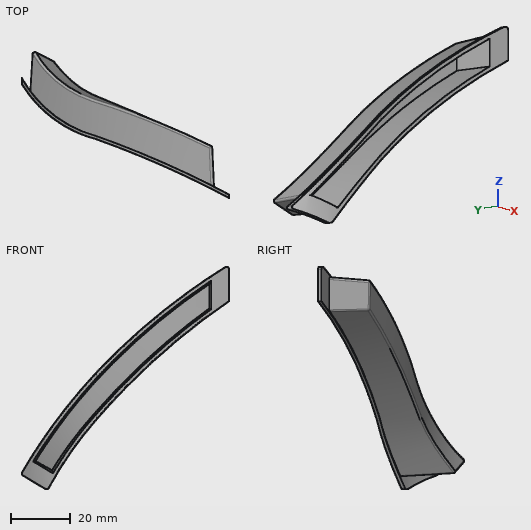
import cadquery as cq
import math

LENGTH_X = 69.2
SHEET_THICKNESS = 1.05
WALL = 1.05
TRAY_MARGIN = 0.2
DRAFT = math.tan(math.radians(2.5))
CORNER_RADIUS = 0.9
EDGE_RADIUS = 0.75
JOINT_X = 24.75
FLANGE_TOP_Z = 74.9
FLANGE_BOTTOM_Z = 62.7
NEAR_PLANE_Y = -3.7
FAR_PLANE_Y = 55.6
SLAB_HEIGHT = 81.55
CURVE_STEPS = 16
BACK_STEPS = 12
OVERRUN = 0.04
CORNER_ALIGNMENT = 0.95

UPPER_EDGE = [(-0.3, 5.0), (11.65, 23.05), (JOINT_X, 38.8), (46.0, 58.5), (LENGTH_X, FLANGE_TOP_Z)]
LOWER_EDGE = [(8.6, -0.4), (15.7, 11.4), (JOINT_X, 23.05), (46.0, 44.6), (LENGTH_X, FLANGE_BOTTOM_Z)]
FLANGE_FACE = [(-1.5, 40.8), (10.4, 26.7), (JOINT_X, 19.7), (47.45, 10.7), (70.4, -0.6)]
TRAY_BACK_UPPER = [(1.5, 52.6), (10.4, 40.55), (JOINT_X, 32.8), (44.5, 25.9), (66.7, 15.7)]
TRAY_BACK_LOWER = [(9.65, 49.15), (17.95, 38.7), (JOINT_X, 34.4), (44.5, 25.9), (66.7, 15.7)]

TRAY_UPPER_LEFT = 2.45
TRAY_LOWER_LEFT = 10.75
TRAY_RIGHT = 64.2
BACK_POINT = (33.4, 30.4, 40.0)

END_SLOPE = math.radians(30)
UPPER_CORNER_SHIFT = math.sin(END_SLOPE) + math.cos(END_SLOPE)
LOWER_CORNER_SHIFT = math.sin(END_SLOPE) - math.cos(END_SLOPE)


def circle_through(p, q, r):
    """Centre and radius of the circle through three points."""
    (ax, ay), (bx, by), (cx, cy) = p, q, r
    twice_area = 2 * (ax * (by - cy) + bx * (cy - ay) + cx * (ay - by))
    a2 = ax**2 + ay**2
    b2 = bx**2 + by**2
    c2 = cx**2 + cy**2
    ux = (a2 * (by - cy) + b2 * (cy - ay) + c2 * (ay - by)) / twice_area
    uy = (a2 * (cx - bx) + b2 * (ax - cx) + c2 * (bx - ax)) / twice_area
    return ux, uy, math.hypot(ax - ux, ay - uy)


def height_at(curve, x, toward_center=0.0):
    """Ordinate of a two-arc curve at x, after offsetting it toward its arc centres."""
    arc = curve[:3] if x < JOINT_X else curve[2:]
    center_x, center_y, radius = circle_through(*arc)
    side = 1 if arc[1][1] > center_y else -1
    return center_y + side * math.sqrt((radius - toward_center) ** 2 - (x - center_x) ** 2)


def add_curve(path, curve):
    """Continue a path from the curve's start to its end."""
    return path.threePointArc(curve[1], curve[2]).threePointArc(curve[3], curve[4])


def flange_outline():
    path = add_curve(cq.Workplane("XZ").moveTo(*UPPER_EDGE[0]), UPPER_EDGE)
    path = add_curve(path.lineTo(*LOWER_EDGE[4]), LOWER_EDGE[::-1]).close()
    solid = path.extrude(-FAR_PLANE_Y)
    return solid.edges("|Y").edges("<X or >Z or <Z").fillet(CORNER_RADIUS)


def normal_offset(curve, distance):
    """The same two-arc curve moved square to itself toward +Y."""
    moved = []
    for x, y in curve:
        cx, cy, radius = circle_through(*(curve[:3] if x < JOINT_X else curve[2:]))
        toward = distance if cy > y else -distance
        moved.append((x + (cx - x) * toward / radius, y + (cy - y) * toward / radius))
    return moved


def slab(front, back):
    """Upright solid between two curves of the XY plane."""
    path = add_curve(cq.Workplane("XY").moveTo(*front[0]), front).lineTo(*back[4])
    return add_curve(path, back[::-1]).close().extrude(SLAB_HEIGHT)


def tray_section(plane_y, inset):
    """Outline of the drafted side walls in the plane Y = plane_y."""

    def side_points(edge, left, corner_shift, inward):
        start = left + corner_shift * (inset + DRAFT * (plane_y - height_at(FLANGE_FACE, left)))
        end = TRAY_RIGHT - inset - DRAFT * (plane_y - height_at(FLANGE_FACE, TRAY_RIGHT))
        points = []
        for i in range(CURVE_STEPS + 1):
            x = start + (end - start) * i / CURVE_STEPS
            distance = TRAY_MARGIN + inset + DRAFT * (plane_y - height_at(FLANGE_FACE, x))
            points.append(cq.Vector(x, plane_y, height_at(edge, x, inward * distance)))
        return points

    upper = side_points(UPPER_EDGE, TRAY_UPPER_LEFT, UPPER_CORNER_SHIFT, 1)
    lower = side_points(LOWER_EDGE, TRAY_LOWER_LEFT, LOWER_CORNER_SHIFT, -1)[::-1]
    return cq.Wire.assembleEdges([
        cq.Edge.makeSpline(upper),
        cq.Edge.makeLine(upper[-1], lower[0]),
        cq.Edge.makeSpline(lower),
        cq.Edge.makeLine(lower[-1], upper[0]),
    ])


def tray_walls(inset):
    sections = [tray_section(NEAR_PLANE_Y, inset), tray_section(FAR_PLANE_Y, inset)]
    return cq.Workplane(cq.Solid.makeLoft(sections, True))


def back_limit(wall):
    """Solid in front of the tray's back, which twists from its upper to its lower edge."""
    upper_curve = normal_offset(TRAY_BACK_UPPER, -wall)
    lower_curve = normal_offset(TRAY_BACK_LOWER, -wall)
    sections = []
    for i in range(BACK_STEPS + 1):
        along = (1 + 2 * OVERRUN) * i / BACK_STEPS - OVERRUN
        upper_x = TRAY_UPPER_LEFT + along * (TRAY_RIGHT - TRAY_UPPER_LEFT)
        lower_x = TRAY_LOWER_LEFT + along * (TRAY_RIGHT - TRAY_LOWER_LEFT)
        upper_z = height_at(UPPER_EDGE, upper_x)
        lower_z = height_at(LOWER_EDGE, lower_x)
        upper = cq.Vector(upper_x, height_at(upper_curve, upper_x), upper_z)
        lower = cq.Vector(lower_x, height_at(lower_curve, lower_x), lower_z)
        across = (upper - lower) * (2 * OVERRUN)
        upper += across
        lower -= across
        sections.append(cq.Wire.makePolygon([
            cq.Vector(upper.x, NEAR_PLANE_Y, upper.z),
            upper,
            lower,
            cq.Vector(lower.x, NEAR_PLANE_Y, lower.z),
        ], close=True))
    return cq.Workplane(cq.Solid.makeLoft(sections))


def runs_front_to_back(edge):
    """Whether an edge of the tray is one of its four corners running along Y."""
    direction = (edge.endPoint() - edge.startPoint()).normalized()
    return abs(direction.y) > CORNER_ALIGNMENT


sheet_back = normal_offset(FLANGE_FACE, SHEET_THICKNESS)
flange = flange_outline().intersect(slab(FLANGE_FACE, sheet_back))

tray_front = normal_offset(FLANGE_FACE, SHEET_THICKNESS / 2)
beyond_tray = [(x, y + FAR_PLANE_Y) for x, y in FLANGE_FACE]
tray = tray_walls(0).intersect(back_limit(0)).intersect(slab(tray_front, beyond_tray))
back_face = tray.faces(cq.NearestToPointSelector(BACK_POINT))
back_edges = back_face.edges().vals()
corner_edges = [edge for edge in tray.edges().vals() if runs_front_to_back(edge)]
tray = tray.newObject([tray.val().fillet(EDGE_RADIUS, back_edges + corner_edges)])

cavity_front = [(x, y - SHEET_THICKNESS) for x, y in FLANGE_FACE]
cavity = tray_walls(WALL).intersect(back_limit(WALL)).intersect(slab(cavity_front, beyond_tray))

result = flange.union(tray).cut(cavity)